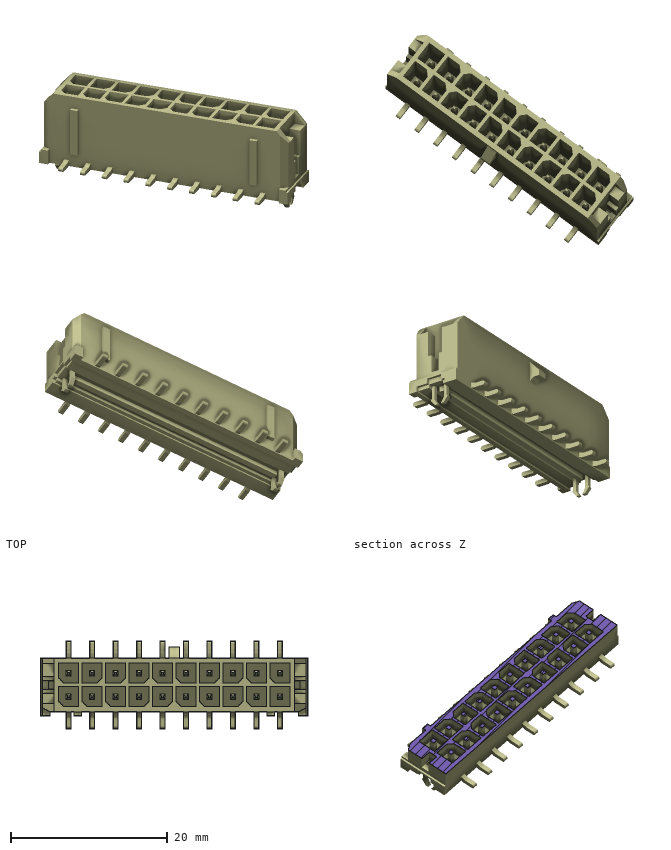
import cadquery as cq


total_length = 34.15
end_x = total_length / 2
flank_x = 16.85
shroud_x = 15.37
body_y = 3.45
body_height = 9.87
shoulder_z = 8.23
corner_cut_x = 0.95
corner_cut_y = 0.5

plate_height = 1.65
foot_height = 1.95
foot_front_y = 3.95
foot_inner_x = flank_x - corner_cut_x

cheek_back_y = 2.73
cheek_front_y = 2.4
slot_half_width = 1.1
slot_floor_z = 4.7
keyway_half_width = 0.58
keyway_floor_z = 2.25
clip_hole_width = 1.05
clip_hole_outer_x = 16.1
clip_hole_depth = 0.7

underside_front_y = 2.73
underside_back_y = 1.6
underside_depth = 0.25
notch_height = 0.72
notch_depth = 0.4
channel_half_width = 1.13
window_half_width = 1.1
window_top_z = 1.4
keel_width = 0.7

columns = 10
column_span = 27.0
column_pitch = column_span / (columns - 1)
row_pitch = 3.0
cavity_width = 2.55
cavity_corner = 0.7
cavity_floor_z = 2.05
pin_width = 0.65
pin_tip_width = 0.25
pin_top_z = 6.83
pin_taper = 0.5
back_row_keys = "LRRRLLRRLL"
front_row_keys = "LLLRRLLRL-"

tail_end_y = 5.6
tail_root_y = 3.07
tail_bend_y = 4.25
tail_toe_y = 3.82
tail_thickness = 0.6
tail_root_top_z = 0.85
tail_root_bottom_z = 0.17

rib_x = 12.33
rib_width = 1.0

latch_width = 1.4
latch_y = 4.9
latch_top_z = 9.3
latch_nose_top_z = 7.72
latch_nose_bottom_z = 7.0
latch_bottom_z = 6.52
latch_curve_y = 4.03
latch_curve_bulge = 0.07

clip_inner_x = 15.4
clip_thickness = 0.55
clip_bottom_z = -2.05
clip_leg_inner_y = 0.72
clip_leg_outer_y = 1.15
clip_barb_y = 1.33
clip_barb_z = -1.25
clip_shoulder_z = -1.05
clip_tip_inner_y = 0.25
clip_tip_outer_y = 0.7

overlap = 0.35


def block(x0, x1, y0, y1, z0, z1):
    """Axis-aligned box between two opposite corners."""
    return cq.Workplane("XY").box(x1 - x0, y1 - y0, z1 - z0, centered=False).translate((x0, y0, z0))


def side_profile(points, center_x, width):
    """Solid with the given (y, z) outline, centered on center_x."""
    return cq.Workplane("YZ").polyline(points).close().extrude(width / 2, both=True).translate((center_x, 0, 0))


def both_ends(piece):
    """The piece and its mirror image at the other end of the part."""
    return piece.union(piece.mirror("YZ"))


def make_housing():
    front_outline = [
        (-flank_x, 0),
        (flank_x, 0),
        (flank_x, shoulder_z),
        (shroud_x, body_height),
        (-shroud_x, body_height),
        (-flank_x, shoulder_z),
    ]
    housing = cq.Workplane("XZ").polyline(front_outline).close().extrude(body_y, both=True)
    corner = (
        cq.Workplane("XY")
        .moveTo(flank_x, -body_y)
        .lineTo(flank_x, -body_y + corner_cut_y)
        .lineTo(foot_inner_x, -body_y)
        .close()
        .extrude(body_height)
    )
    housing = housing.cut(both_ends(corner))
    plate = block(flank_x, end_x, -foot_front_y, body_y, 0, plate_height)
    foot = block(foot_inner_x, flank_x, -foot_front_y, -body_y + corner_cut_y, 0, foot_height)
    return housing.union(both_ends(plate.union(foot)))


def make_end_recesses():
    top = block(shroud_x, end_x, -cheek_front_y, cheek_back_y, shoulder_z, body_height)
    slot = block(shroud_x, end_x, -slot_half_width, slot_half_width, slot_floor_z, shoulder_z)
    keyway = block(shroud_x, end_x, -keyway_half_width, keyway_half_width, keyway_floor_z, slot_floor_z)
    clip_hole = block(
        shroud_x, clip_hole_outer_x,
        -clip_hole_width / 2, clip_hole_width / 2,
        keyway_floor_z - clip_hole_depth, keyway_floor_z,
    )
    return both_ends(top.union(slot).union(keyway).union(clip_hole))


def make_underside_recesses():
    inner_x = end_x - notch_depth
    hollow = block(-end_x, end_x, -underside_front_y, underside_back_y, 0, underside_depth)
    channel = block(-end_x, end_x, -channel_half_width, channel_half_width, 0, notch_height)
    notch = block(inner_x, end_x, -underside_front_y, underside_back_y, 0, notch_height)
    window = block(inner_x, end_x, -window_half_width, window_half_width, notch_height, window_top_z)
    return hollow.union(channel).union(both_ends(notch.union(window)))


def make_cavity(key):
    """Contact cavity centered on the Z axis, with the keyed front corner beveled, if any."""
    cavity = (
        cq.Workplane("XY")
        .workplane(offset=cavity_floor_z)
        .rect(cavity_width, cavity_width)
        .extrude(body_height - cavity_floor_z)
    )
    if key == "L":
        return cavity.edges("|Z and <X and <Y").chamfer(cavity_corner)
    if key == "R":
        return cavity.edges("|Z and >X and <Y").chamfer(cavity_corner)
    return cavity


def make_pin():
    """Square contact pin on the Z axis with a tapered tip."""
    shaft_top_z = pin_top_z - pin_taper
    shaft_bottom_z = cavity_floor_z - overlap
    half = pin_width / 2
    shaft = block(-half, half, -half, half, shaft_bottom_z, shaft_top_z)
    tip = (
        cq.Workplane("XY")
        .workplane(offset=shaft_top_z)
        .rect(pin_width, pin_width)
        .workplane(offset=pin_taper)
        .rect(pin_tip_width, pin_tip_width)
        .loft(ruled=True)
    )
    return shaft.union(tip)


def make_tail():
    """Solder tail reaching out of the back wall at X = 0, with a full round end."""
    end_radius = tail_thickness / 2
    round_start_y = tail_end_y - end_radius
    return (
        cq.Workplane("YZ")
        .moveTo(tail_root_y, tail_root_bottom_z)
        .lineTo(body_y, tail_root_bottom_z)
        .lineTo(tail_toe_y, 0)
        .lineTo(round_start_y, 0)
        .threePointArc((tail_end_y, end_radius), (round_start_y, tail_thickness))
        .lineTo(tail_bend_y, tail_thickness)
        .lineTo(body_y, tail_root_top_z)
        .lineTo(tail_root_y, tail_root_top_z)
        .close()
        .extrude(pin_width / 2, both=True)
    )


def make_latch():
    bend_y = (latch_curve_y + body_y) / 2
    bend_z = (latch_nose_bottom_z + latch_bottom_z) / 2 + latch_curve_bulge
    return (
        cq.Workplane("YZ")
        .moveTo(body_y - overlap, latch_top_z)
        .lineTo(body_y, latch_top_z)
        .lineTo(latch_y, latch_nose_top_z)
        .lineTo(latch_y, latch_nose_bottom_z)
        .lineTo(latch_curve_y, latch_nose_bottom_z)
        .threePointArc((bend_y, bend_z), (body_y, latch_bottom_z))
        .lineTo(body_y - overlap, latch_bottom_z)
        .close()
        .extrude(latch_width / 2, both=True)
    )


def make_clip():
    """Pair of barbed legs at the +X end."""
    root_z = notch_height + overlap
    outline = [
        (clip_leg_inner_y, root_z),
        (clip_leg_outer_y, root_z),
        (clip_leg_outer_y, clip_shoulder_z),
        (clip_barb_y, clip_barb_z),
        (clip_tip_outer_y, clip_bottom_z),
        (clip_tip_inner_y, clip_bottom_z),
        (clip_leg_inner_y, clip_barb_z),
    ]
    leg = side_profile(outline, clip_inner_x + clip_thickness / 2, clip_thickness)
    return leg.union(leg.mirror("XZ"))


result = make_housing().cut(make_end_recesses()).cut(make_underside_recesses())

pin = make_pin()
back_tail = make_tail()
front_tail = back_tail.mirror("XZ")
rows = [
    (row_pitch / 2, back_row_keys, back_tail),
    (-row_pitch / 2, front_row_keys, front_tail),
]
for row_y, keys, tail in rows:
    for column in range(columns):
        x = column * column_pitch - column_span / 2
        result = result.cut(make_cavity(keys[column]).translate((x, row_y, 0)))
        result = result.union(pin.translate((x, row_y, 0)))
        result = result.union(tail.translate((x, 0, 0)))

keel = block(-shroud_x, shroud_x, -keel_width / 2, keel_width / 2, 0, notch_height + overlap)
result = result.union(keel)

rib = block(
    rib_x - rib_width / 2, rib_x + rib_width / 2,
    -foot_front_y, -body_y + overlap,
    foot_height, shoulder_z,
)
result = result.union(both_ends(rib))

result = result.union(make_latch()).union(both_ends(make_clip()))